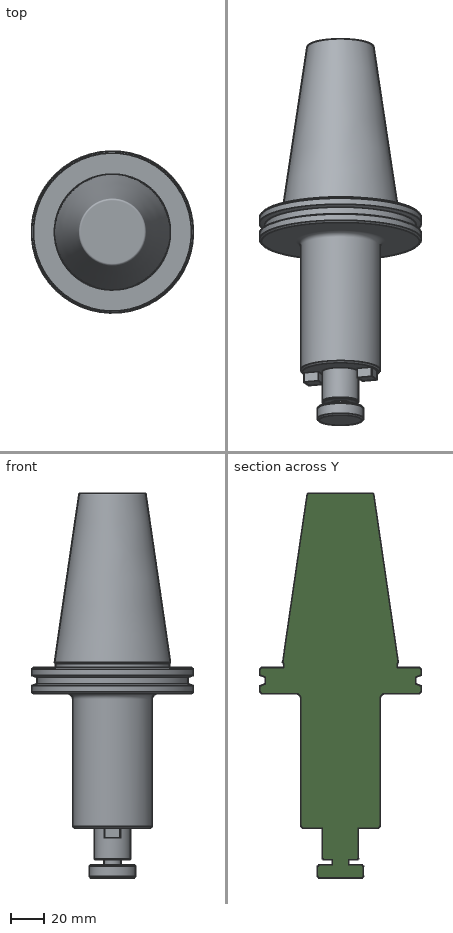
import cadquery as cq
import math


gauge_radius = 69.85 / 2
taper_length = 101.75
taper_ratio = 7 / 24
tip_radius = gauge_radius - taper_length * taper_ratio / 2
tip_fillet = 1.2

relief_radius = gauge_radius - 0.5
relief_start = -1.0

flange_radius = 97.5 / 2
flange_top = -3.2
flange_bottom = -19.1
flange_chamfer = 1.2
groove_center = -11.1
groove_floor_radius = 91.25 / 2
groove_mouth_width = 6.2
groove_wall_angle = 20

body_radius = 48 / 2
body_bottom = -100
body_chamfer = 1.2
body_fillet = 3.0

pilot_radius = 22 / 2
pilot_bottom = body_bottom - 19
pilot_chamfer = 0.7

neck_radius = 10.4 / 2
head_radius = 28 / 2
head_top = -121.9
head_bottom = -130
head_chamfer = 1.0

key_width = 10
key_height = 5.6
key_inner = 12.4
key_outer = 21.9
key_chamfer = 0.5


def make_turned_body():
    """Revolve the half profile, running from the taper tip down to the screw head."""
    groove_depth = flange_radius - groove_floor_radius
    mouth_half = groove_mouth_width / 2
    floor_half = mouth_half - groove_depth * math.tan(math.radians(groove_wall_angle))
    fillet_sag = body_fillet * (1 - math.sqrt(0.5))

    profile = (
        cq.Workplane("XZ")
        .moveTo(0, taper_length)
        .lineTo(tip_radius, taper_length)
        .lineTo(gauge_radius, 0)
        .lineTo(relief_radius, relief_start)
        .lineTo(relief_radius, flange_top)
        .lineTo(flange_radius - flange_chamfer, flange_top)
        .lineTo(flange_radius, flange_top - flange_chamfer)
        .lineTo(flange_radius, groove_center + mouth_half)
        .lineTo(groove_floor_radius, groove_center + floor_half)
        .lineTo(groove_floor_radius, groove_center - floor_half)
        .lineTo(flange_radius, groove_center - mouth_half)
        .lineTo(flange_radius, flange_bottom + flange_chamfer)
        .lineTo(flange_radius - flange_chamfer, flange_bottom)
        .lineTo(body_radius + body_fillet, flange_bottom)
        .threePointArc(
            (body_radius + fillet_sag, flange_bottom - fillet_sag),
            (body_radius, flange_bottom - body_fillet),
        )
        .lineTo(body_radius, body_bottom + body_chamfer)
        .lineTo(body_radius - body_chamfer, body_bottom)
        .lineTo(pilot_radius, body_bottom)
        .lineTo(pilot_radius, pilot_bottom + pilot_chamfer)
        .lineTo(pilot_radius - pilot_chamfer, pilot_bottom)
        .lineTo(neck_radius, pilot_bottom)
        .lineTo(neck_radius, head_top)
        .lineTo(head_radius - head_chamfer, head_top)
        .lineTo(head_radius, head_top - head_chamfer)
        .lineTo(head_radius, head_bottom + head_chamfer)
        .lineTo(head_radius - head_chamfer, head_bottom)
        .lineTo(0, head_bottom)
        .close()
    )
    turned = profile.revolve(360, (0, 0, 0), (0, 1, 0))
    return turned.faces(">Z").edges().fillet(tip_fillet)


def make_key(side):
    """Drive key standing on the body end face, on the +Y (side=1) or -Y (side=-1) side."""
    return (
        cq.Workplane("XY", origin=(0, side * (key_inner + key_outer) / 2, body_bottom))
        .rect(key_width, key_outer - key_inner)
        .extrude(-key_height)
        .faces(">Y" if side > 0 else "<Y")
        .edges("|Z")
        .chamfer(key_chamfer)
    )


result = make_turned_body()
for key_side in (1, -1):
    result = result.union(make_key(key_side))